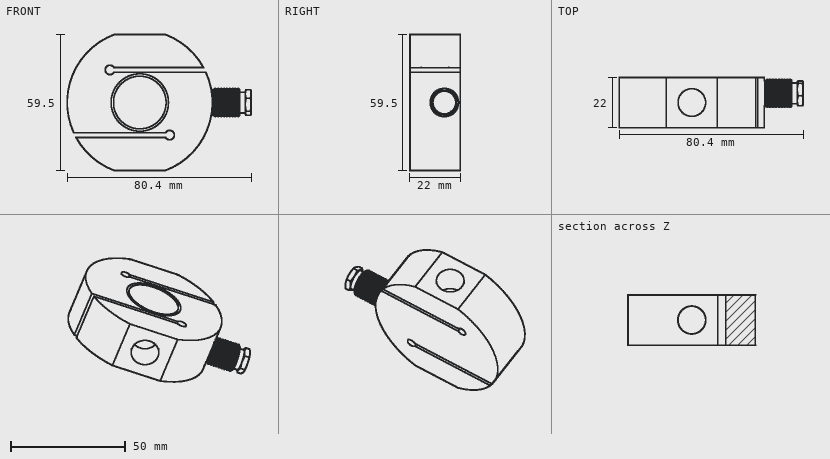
import cadquery as cq
import math

DISC_RADIUS = 31.75
THICKNESS = 22.0
HEIGHT = 59.5
FRONT_Y = -THICKNESS / 2

SLOT_Z = 14.2
SLOT_WIDTH = 1.9
RELIEF_X = 13.0
RELIEF_DIAMETER = 4.0

MOUNT_DIAMETER = 12.05
MOUNT_DEPTH = HEIGHT / 2 - SLOT_Z

RECESS_DIAMETER = 25.1
RECESS_DEPTH = 0.1
POCKET_DIAMETER = 23.0
POCKET_DEPTH = 0.3

GLAND_Y = 4.0
TOTAL_LENGTH = 80.4
END_X = TOTAL_LENGTH - DISC_RADIUS
HEX_LENGTH = 2.6
HEX_FLATS = 10.0
HEX_TURN = 19.0
HEX_FACE_RADIUS = HEX_FLATS / 2
HEX_CHAMFER = 0.4
NECK_RADIUS = 4.6
THREAD_LENGTH = 12.0
CREST_RADIUS = 6.2
ROOT_RADIUS = 5.8
END_RADIUS = 5.5
RIDGE_SPAN = 10.0
RIDGE_COUNT = 9
PITCH = RIDGE_SPAN / (RIDGE_COUNT - 1)
RIDGE_HALF_WIDTH = 0.5
LAST_CREST = THREAD_LENGTH - (CREST_RADIUS - END_RADIUS)


def slot_with_relief():
    """Upper slot, open at +X and ending in a relief hole at its -X end."""
    slot_length = RELIEF_X + DISC_RADIUS
    slot = cq.Workplane("XY").box(slot_length, THICKNESS, SLOT_WIDTH)
    slot = slot.translate((slot_length / 2 - RELIEF_X, 0, SLOT_Z))
    relief = (
        cq.Workplane("XZ")
        .center(-RELIEF_X, SLOT_Z)
        .circle(RELIEF_DIAMETER / 2)
        .extrude(THICKNESS / 2, both=True)
    )
    return slot.union(relief)


def mounting_hole():
    """Hole from the top flat down to the upper slot."""
    return (
        cq.Workplane("XY", origin=(0, 0, HEIGHT / 2))
        .circle(MOUNT_DIAMETER / 2)
        .extrude(-MOUNT_DEPTH)
    )


def front_recess(diameter, depth):
    return (
        cq.Workplane("XZ", origin=(0, FRONT_Y, 0))
        .circle(diameter / 2)
        .extrude(-depth)
    )


def make_sensor_body():
    disc = cq.Workplane("XZ").circle(DISC_RADIUS).extrude(THICKNESS / 2, both=True)
    body = disc.intersect(cq.Workplane("XY").box(2 * DISC_RADIUS, THICKNESS, HEIGHT))
    cuts = slot_with_relief().union(mounting_hole())
    for angle in (0, 180):
        body = body.cut(cuts.rotate((0, 0, 0), (0, 1, 0), angle))
    body = body.cut(front_recess(RECESS_DIAMETER, RECESS_DEPTH))
    return body.cut(front_recess(POCKET_DIAMETER, POCKET_DEPTH))


def make_threaded_stem():
    """Ridged stem and plain neck, revolved about the gland axis."""
    first_crest = LAST_CREST - RIDGE_SPAN
    points = [(0, 0), (0, END_RADIUS), (ROOT_RADIUS - END_RADIUS, ROOT_RADIUS)]
    for ridge in range(RIDGE_COUNT):
        crest = first_crest + ridge * PITCH
        points.append((crest - RIDGE_HALF_WIDTH, ROOT_RADIUS))
        points.append((crest, CREST_RADIUS))
        if ridge < RIDGE_COUNT - 1:
            points.append((crest + RIDGE_HALF_WIDTH, ROOT_RADIUS))
    neck_end = END_X - HEX_LENGTH - DISC_RADIUS
    points += [(THREAD_LENGTH, END_RADIUS), (THREAD_LENGTH, NECK_RADIUS)]
    points += [(neck_end, NECK_RADIUS), (neck_end, 0)]
    stem = cq.Workplane("XY").polyline(points).close()
    stem = stem.revolve(360, (0, 0, 0), (1, 0, 0))
    return stem.translate((DISC_RADIUS, GLAND_Y, 0))


def make_hex_head():
    """Hexagon with its corners turned down to a cone on both faces."""
    corner_radius = HEX_FLATS / 2 / math.cos(math.radians(30))
    start_x = END_X - HEX_LENGTH
    head = (
        cq.Workplane("YZ")
        .polygon(6, 2 * corner_radius)
        .extrude(HEX_LENGTH)
        .rotate((0, 0, 0), (1, 0, 0), -HEX_TURN)
    )
    cone_limits = [
        (0, 0),
        (0, HEX_FACE_RADIUS),
        (HEX_CHAMFER, corner_radius),
        (HEX_LENGTH - HEX_CHAMFER, corner_radius),
        (HEX_LENGTH, HEX_FACE_RADIUS),
        (HEX_LENGTH, 0),
    ]
    envelope = cq.Workplane("XY").polyline(cone_limits).close()
    envelope = envelope.revolve(360, (0, 0, 0), (1, 0, 0))
    return head.intersect(envelope).translate((start_x, GLAND_Y, 0))


sensor_body = make_sensor_body()
cable_gland = make_threaded_stem().union(make_hex_head())

result = cq.Compound.makeCompound([sensor_body.val(), cable_gland.val()])